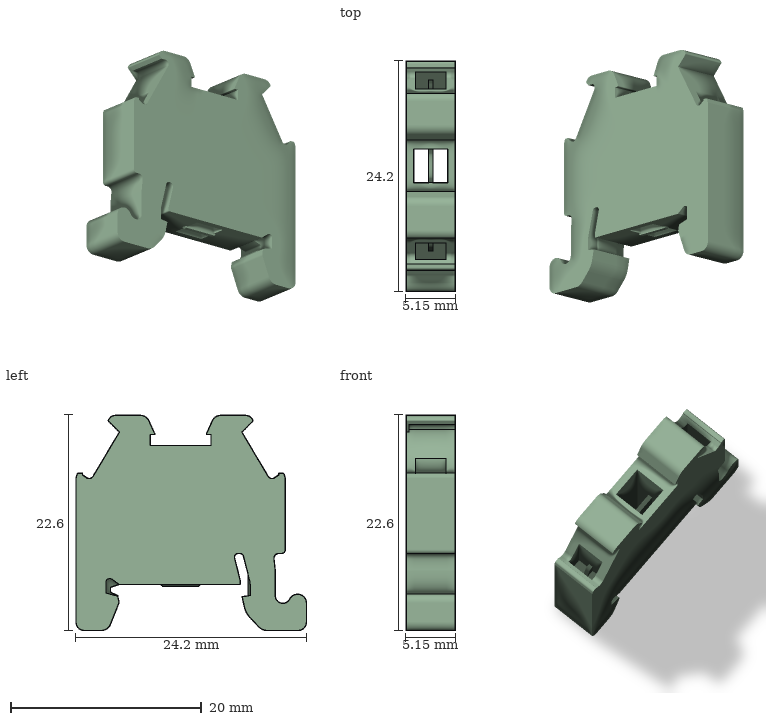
import cadquery as cq
import math

WIDTH = 5.15
HEIGHT = 22.6
BODY_HALF = 10.99
FOOT_TIP = BODY_HALF - 24.2

SADDLE_HALF, SADDLE_Z = 3.17, 19.43
LIP_Y, LIP_Z = 2.65, 20.57
HOOK_TIP_Y = 7.62
NECK_Y, NECK_Z = 6.44, 20.84
GUTTER_Z = 15.78
RIM_Z = 16.53
SEAT_Z = 4.82
LEVER_TOP_Z, LEVER_DIP_Z = 3.82, 2.88
SLOT_TOP_Z = 8.08

WINDOW_X, WINDOW_Y = 3.55, 3.5
POCKET_X = 3.17
POCKET_INNER, POCKET_OUTER = 8.08, 9.83
POCKET_FLOOR_Z = 12.1

PLATE_X = 0.48
PLATE_TOP_Z = 13.55
PLATE_END_PLUS, PLATE_END_MINUS = 9.03, -8.93
PLATE_END_TAPER = 0.48
PLATE_SHOULDER_R = 0.48
PAD_HALF, PAD_DROP = 2.03, 0.17
PAD_CHAMFER = 0.15

WEB_X = 2.6
RIB_X = 0.31


def rounded_profile(corners):
    """Closed YZ wire through (y, z) or (y, z, radius) corners."""
    path = []
    count = len(corners)
    for i, corner in enumerate(corners):
        vertex = cq.Vector(*corner[:2])
        if len(corner) == 2:
            path.append((vertex,))
            continue
        to_prev = (cq.Vector(*corners[i - 1][:2]) - vertex).normalized()
        to_next = (cq.Vector(*corners[(i + 1) % count][:2]) - vertex).normalized()
        half_angle = to_prev.getAngle(to_next) / 2
        tangent = corner[2] / math.tan(half_angle)
        sagitta_gap = corner[2] / math.sin(half_angle) - corner[2]
        middle = vertex + (to_prev + to_next).normalized() * sagitta_gap
        path.append((vertex + to_prev * tangent, middle, vertex + to_next * tangent))

    sketch = cq.Workplane("YZ").moveTo(*path[0][0].toTuple()[:2])
    for i, step in enumerate(path):
        if i > 0:
            sketch = sketch.lineTo(*step[0].toTuple()[:2])
        if len(step) == 3:
            sketch = sketch.threePointArc(step[1].toTuple()[:2], step[2].toTuple()[:2])
    return sketch.close()


def slab(corners, thickness):
    """Profile extruded along X, centred on the mid-plane."""
    return rounded_profile(corners).extrude(thickness / 2, both=True)


def box(size_x, y_min, y_max, z_min, z_max):
    """Box centred on X = 0 between the given Y and Z limits."""
    middle = (0, (y_min + y_max) / 2, (z_min + z_max) / 2)
    return cq.Workplane("XY").box(size_x, y_max - y_min, z_max - z_min).translate(middle)


top_half = [
    (SADDLE_HALF, SADDLE_Z),
    (SADDLE_HALF, LIP_Z),
    (LIP_Y, LIP_Z, 0.07),
    (3.58, HEIGHT, 1.02),
    (7.33, HEIGHT, 0.87),
    (HOOK_TIP_Y, 22.02, 0.12),
    (NECK_Y, NECK_Z),
    (9.45, GUTTER_Z, 0.45),
    (10.28, 16.34),
    (10.28, RIM_Z, 0.07),
    (10.85, RIM_Z, 0.22),
    (BODY_HALF, 16.02),
]

fixed_hook = [
    (BODY_HALF, 0, 0.9),
    (7.62, 0, 1.05),
    (6.44, 2.95, 0.48),
    (6.58, 3.6, 0.15),
    (7.82, 3.95),
    (7.82, 5.45, 0.3),
    (7.28, 5.45, 0.25),
    (6.41, SEAT_Z, 0.25),
]

spring_foot = [
    (-6.27, SEAT_Z, 0.15),
    (-6.27, 5.25, 0.15),
    (-5.57, SLOT_TOP_Z, 0.36),
    (-6.5, SLOT_TOP_Z, 0.36),
    (-7.3, 4.99, 0.97),
    (-7.3, 3.68),
    (-6.44, 3.58),
    (-6.82, 1.85, 2.42),
    (-8.57, 0, 1.2),
    (FOOT_TIP, 0, 0.9),
    (FOOT_TIP, LEVER_TOP_Z, 0.92),
    (-11.74, LEVER_TOP_Z, 0.92),
    (-11.18, LEVER_DIP_Z, 0.77),
    (-9.95, LEVER_DIP_Z, 0.77),
    (-9.95, 6.27),
    (-9.75, SLOT_TOP_Z, 0.48),
    (-BODY_HALF, SLOT_TOP_Z, 0.39),
]

minus_half = [(-corner[0], *corner[1:]) for corner in reversed(top_half)]
body = slab(top_half + fixed_hook + spring_foot + minus_half, WIDTH)

fixed_web = [
    (8.23, 5.8),
    (8.23, 3.4),
    (6.9, 3.4),
    (6.58, 3.68),
    (7.35, 4.05, 0.15),
    (7.35, 4.53, 0.15),
    (6.44, 4.85),
    (6.44, 5.8),
]
spring_web = [(-7.07, 3.63), (-7.07, 5.95), (-7.62, 5.95), (-7.62, 3.63)]
for web in (fixed_web, spring_web):
    body = body.union(slab(web, WEB_X))

hook_groove = [
    (-7.99, 21.63),
    (-6.3, 21.63, 0.44),
    (-6.3, 21.1),
    (-NECK_Y, NECK_Z),
    (-7.24, 21.59),
]
body = body.cut(slab(hook_groove, WIDTH).translate((RIB_X, 0, 0)))

body = body.cut(box(WINDOW_X, -WINDOW_Y / 2, WINDOW_Y / 2, 0, HEIGHT))
for y_min, y_max in ((POCKET_INNER, POCKET_OUTER), (-POCKET_OUTER, -POCKET_INNER)):
    body = body.cut(box(POCKET_X, y_min, y_max, POCKET_FLOOR_Z, HEIGHT))

bar = [
    (PLATE_END_MINUS, POCKET_FLOOR_Z),
    (PLATE_END_MINUS + PLATE_END_TAPER, PLATE_TOP_Z, PLATE_SHOULDER_R),
    (PLATE_END_PLUS - PLATE_END_TAPER, PLATE_TOP_Z, PLATE_SHOULDER_R),
    (PLATE_END_PLUS, POCKET_FLOOR_Z),
]
pad_z = SEAT_Z - PAD_DROP
stem = [
    (-PAD_HALF, PLATE_TOP_Z),
    (-PAD_HALF, pad_z + PAD_CHAMFER),
    (-PAD_HALF + PAD_CHAMFER, pad_z),
    (PAD_HALF - PAD_CHAMFER, pad_z),
    (PAD_HALF, pad_z + PAD_CHAMFER),
    (PAD_HALF, PLATE_TOP_Z),
]
result = body.union(slab(bar, PLATE_X)).union(slab(stem, PLATE_X))